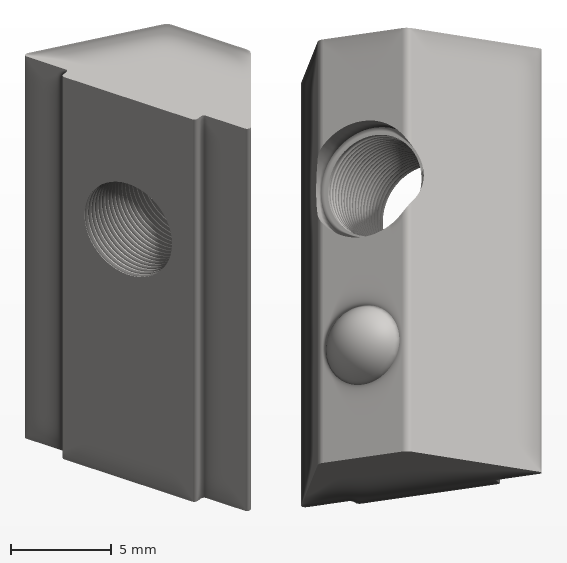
import cadquery as cq
import math

length = 21.9
base_width = 13.35
body_height = 7.3
tab_width = 8.0
tab_height = 0.68
slope_angle = 56.5
edge_radius = 0.2
back_edge_radius = 0.48

ball_radius = 2.25
ball_tip = 8.6
ball_z = 5.8

hole_z = 14.39
thread_minor_radius = 2.6
thread_major_radius = 2.83
thread_pitch = 0.3
thread_flank_angle = 30.0
mouth_radius = 3.0
mouth_depth = 1.31

outer_corner = base_width / 2 - edge_radius + edge_radius / math.tan(math.radians(slope_angle / 2))
back_half_width = outer_corner - (body_height - tab_height) / math.tan(math.radians(slope_angle))


def make_body():
    """Trapezoidal bar with a front tab and rounded long edges."""
    half_tab = tab_width / 2
    right_side = [
        (half_tab, 0),
        (half_tab, tab_height),
        (outer_corner, tab_height),
        (back_half_width, body_height),
    ]
    left_side = [(-x, y) for x, y in reversed(right_side)]
    bar = cq.Workplane("XY").polyline(right_side + left_side).close().extrude(length)

    bar = bar.edges("|Z").edges(">Y").fillet(back_edge_radius)
    front_edges = cq.selectors.BoxSelector(
        (-base_width, -edge_radius, 0), (base_width, tab_height + edge_radius / 2, length)
    )
    return bar.edges("|Z").edges(front_edges).fillet(edge_radius)


def make_threaded_hole():
    """Cutter for the through hole: ring-shaped thread grooves and a plain mouth at the back."""
    groove_depth = thread_major_radius - thread_minor_radius
    groove_half_width = groove_depth * math.tan(math.radians(thread_flank_angle))
    mouth_start = body_height - mouth_depth
    groove_count = math.floor(mouth_start / thread_pitch)

    outline = [(0, 0), (thread_minor_radius, 0)]
    for i in range(groove_count):
        groove_y = (i + 0.5) * thread_pitch
        outline += [
            (thread_minor_radius, groove_y - groove_half_width),
            (thread_major_radius, groove_y),
            (thread_minor_radius, groove_y + groove_half_width),
        ]
    outline += [
        (thread_minor_radius, mouth_start),
        (mouth_radius, mouth_start),
        (mouth_radius, body_height),
        (0, body_height),
    ]
    cutter = cq.Workplane("XY").polyline(outline).close().revolve(360, (0, 0, 0), (0, 1, 0))
    return cutter.translate((0, 0, hole_z))


def make_ball():
    """Detent ball standing out of the back face."""
    return cq.Workplane("XY").sphere(ball_radius).translate((0, ball_tip - ball_radius, ball_z))


result = make_body().cut(make_threaded_hole()).union(make_ball())